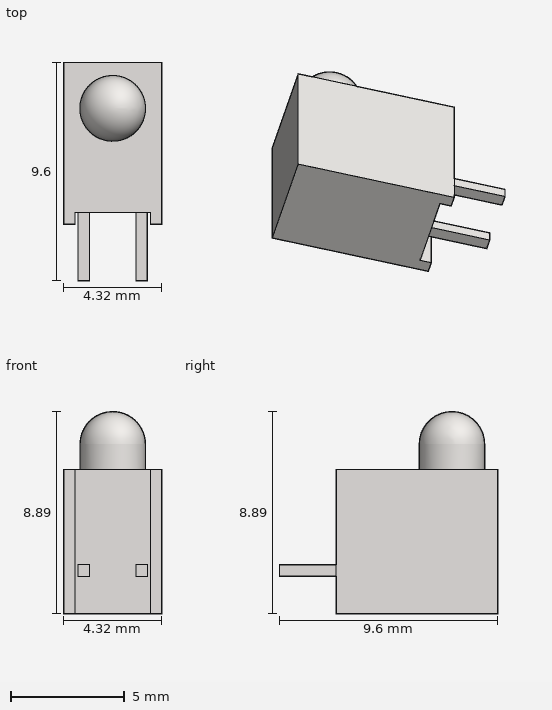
import cadquery as cq

housing_width = 4.32
housing_depth = 7.112
housing_height = 6.35

lip_thickness = 0.508
recess_depth = 0.512

overall_height = 8.89
lens_diameter = 2.89
lens_radius = lens_diameter / 2
lens_to_back = 2.02
lens_cylinder_height = overall_height - housing_height - lens_radius

overall_depth = 9.6
pin_size = 0.508
pin_pitch = 2.54
pin_centre_z = 1.905

front_y = -housing_depth / 2
back_y = housing_depth / 2
recess_y = front_y + recess_depth
pin_tip_y = back_y - overall_depth
lens_y = back_y - lens_to_back


def make_housing():
    """Rectangular block with a full-height recess in its front face."""
    block = cq.Workplane("XY").box(
        housing_width, housing_depth, housing_height, centered=(True, True, False)
    )
    recess_width = housing_width - 2 * lip_thickness
    recess = (
        cq.Workplane("XY")
        .box(recess_width, recess_depth, housing_height, centered=(True, False, False))
        .translate((0, front_y, 0))
    )
    return block.cut(recess)


def make_lens():
    """Short cylinder closed by a hemisphere, revolved about its vertical axis."""
    return (
        cq.Workplane("XZ")
        .lineTo(lens_radius, 0)
        .lineTo(lens_radius, lens_cylinder_height)
        .radiusArc((0, lens_cylinder_height + lens_radius), -lens_radius)
        .close()
        .revolve(360, (0, 0, 0), (0, 1, 0))
        .translate((0, lens_y, housing_height))
    )


def make_pin(pin_x):
    """Straight square pin from the recess floor to the pin tip."""
    pin_length = recess_y - pin_tip_y
    return (
        cq.Workplane("XY")
        .box(pin_size, pin_length, pin_size, centered=(True, False, True))
        .translate((pin_x, pin_tip_y, pin_centre_z))
    )


result = make_housing().union(make_lens())
for side in (-1, 1):
    result = result.union(make_pin(side * pin_pitch / 2))